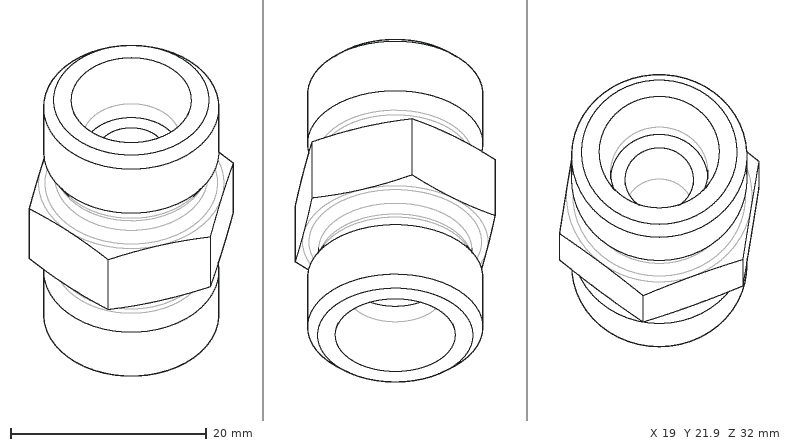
import cadquery as cq
import math

LENGTH = 32.0
HEX_FLATS = 19.0
HEX_HEIGHT = 8.0

THREAD_RADIUS = 18.0 / 2
END_CHAMFER = 1.02
THREAD_END_DEPTH = 7.4
NECK_RADIUS = 15.7 / 2
RUNOUT_ANGLE = 30.0
NECK_FILLET = 1.0

BEVEL_RADIUS = HEX_FLATS / 2
BEVEL_ANGLE = 15.0

SEAT_RADIUS = 12.32 / 2
SOCKET_RADIUS = 10.0 / 2
PASSAGE_RADIUS = 7.0 / 2
SEAT_HALF_ANGLE = 12.0
SOCKET_DEPTH = 7.5

half_length = LENGTH / 2
half_hex = HEX_HEIGHT / 2


def revolve_profile(profile):
    """Turn a closed (radius, height) profile about the Z axis."""
    return profile.close().revolve(360, (0, 0, 0), (0, 1, 0))


def make_hexagon():
    """Hexagon with its corners on the Y axis and bevelled at both faces."""
    corner_radius = HEX_FLATS / 2 / math.cos(math.radians(30))
    bevel_drop = (corner_radius - BEVEL_RADIUS) * math.tan(math.radians(BEVEL_ANGLE))
    hexagon = (
        cq.Workplane("XY", origin=(0, 0, -half_hex))
        .polygon(6, 2 * corner_radius)
        .extrude(HEX_HEIGHT)
        .rotate((0, 0, 0), (0, 0, 1), 90)
    )
    envelope = revolve_profile(
        cq.Workplane("XZ")
        .moveTo(0, -half_hex)
        .lineTo(BEVEL_RADIUS, -half_hex)
        .lineTo(corner_radius, -half_hex + bevel_drop)
        .lineTo(corner_radius, half_hex - bevel_drop)
        .lineTo(BEVEL_RADIUS, half_hex)
        .lineTo(0, half_hex)
    )
    return hexagon.intersect(envelope)


def arc_point(centre_height, angle):
    """Point on a neck fillet, at an angle above the neck's tangent point."""
    turn = math.radians(angle)
    return (
        NECK_RADIUS + NECK_FILLET * (1 - math.cos(turn)),
        centre_height + NECK_FILLET * math.sin(turn),
    )


def make_upper_end():
    """Threaded end with runout cone and a neck flared onto the hexagon."""
    runout_length = (THREAD_RADIUS - NECK_RADIUS) / math.tan(math.radians(RUNOUT_ANGLE))
    thread_bottom = half_length - THREAD_END_DEPTH
    blend_tangent = NECK_FILLET * math.tan(math.radians(RUNOUT_ANGLE / 2))
    neck_top = thread_bottom - runout_length - blend_tangent
    neck_bottom = half_hex + NECK_FILLET
    flare_radius = NECK_RADIUS + NECK_FILLET
    return revolve_profile(
        cq.Workplane("XZ")
        .moveTo(0, 0)
        .lineTo(flare_radius, 0)
        .lineTo(flare_radius, half_hex)
        .threePointArc(arc_point(neck_bottom, -45), (NECK_RADIUS, neck_bottom))
        .lineTo(NECK_RADIUS, neck_top)
        .threePointArc(arc_point(neck_top, RUNOUT_ANGLE / 2), arc_point(neck_top, RUNOUT_ANGLE))
        .lineTo(THREAD_RADIUS, thread_bottom)
        .lineTo(THREAD_RADIUS, half_length - END_CHAMFER)
        .lineTo(THREAD_RADIUS - END_CHAMFER, half_length)
        .lineTo(0, half_length)
    )


def make_upper_bore():
    """Half of the bore: passage, tube socket and conical seat."""
    seat_depth = (SEAT_RADIUS - SOCKET_RADIUS) / math.tan(math.radians(SEAT_HALF_ANGLE))
    return revolve_profile(
        cq.Workplane("XZ")
        .moveTo(0, 0)
        .lineTo(PASSAGE_RADIUS, 0)
        .lineTo(PASSAGE_RADIUS, half_length - SOCKET_DEPTH)
        .lineTo(SOCKET_RADIUS, half_length - SOCKET_DEPTH)
        .lineTo(SOCKET_RADIUS, half_length - seat_depth)
        .lineTo(SEAT_RADIUS, half_length)
        .lineTo(0, half_length)
    )


def with_mirror(upper):
    """Join an upper half to its mirror image below the XY plane."""
    return upper.union(upper.mirror("XY"))


result = make_hexagon().union(with_mirror(make_upper_end())).cut(with_mirror(make_upper_bore()))